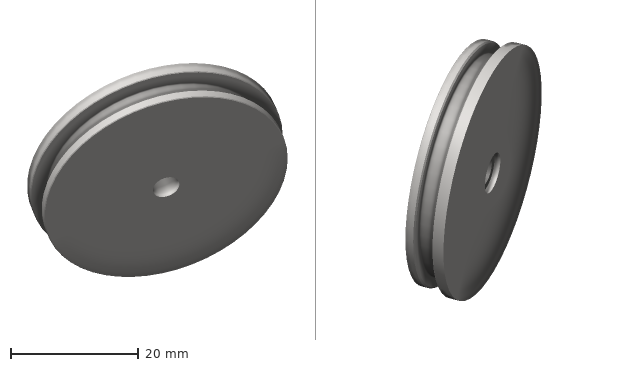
import cadquery as cq

total_width = 6.75
large_flange_radius = 41.5 / 2
small_flange_radius = 40.1 / 2
groove_radius = 36.2 / 2

large_flange_width = 1.9
small_flange_width = 1.6
outer_chamfer = 0.12
inner_chamfer = 0.25

groove_fillet = 0.2

bore_diameter = 4.4
counterbore_diameter = 6.6
counterbore_depth = 1.0


def disc(start, width, radius):
    """Solid disc on the X axis, beginning at the given X position."""
    return cq.Workplane("YZ", origin=(start, 0, 0)).circle(radius).extrude(width)


large_flange = disc(0, large_flange_width, large_flange_radius)
large_flange = large_flange.faces(">X").edges().chamfer(outer_chamfer)
small_flange_start = total_width - small_flange_width
small_flange = disc(small_flange_start, small_flange_width, small_flange_radius)
small_flange = small_flange.faces("<X").edges().chamfer(inner_chamfer)
small_flange = small_flange.faces(">X").edges().chamfer(outer_chamfer)

core = disc(0, total_width, groove_radius)
wheel = core.union(large_flange).union(small_flange)
floor_edge_radius = groove_radius + groove_fillet / 2
floor_edges = cq.selectors.BoxSelector(
    (large_flange_width - groove_fillet / 2, -floor_edge_radius, -floor_edge_radius),
    (small_flange_start + groove_fillet / 2, floor_edge_radius, floor_edge_radius),
    boundingbox=True,
)
wheel = wheel.edges("%CIRCLE").edges(floor_edges).fillet(groove_fillet)

bore = disc(0, total_width, bore_diameter / 2)
counterbore = disc(0, counterbore_depth, counterbore_diameter / 2)

result = wheel.cut(bore).cut(counterbore)